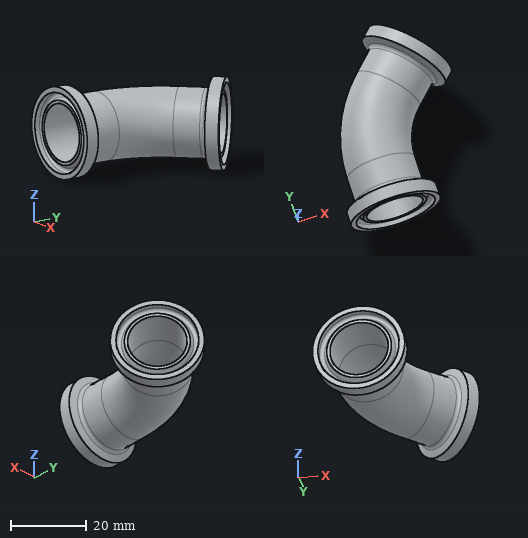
import cadquery as cq
import math

bend_angle = 45
bend_radius = 28.6
leg_length = 12.7

tube_radius = 19.05 / 2
bore_radius = 15.7 / 2

rim_radius = 25.0 / 2
rim_thickness = 3.65
slope_angle = 20
neck_fillet = 1.15
neck_turn = 90 - slope_angle
slope_end_radius = tube_radius + neck_fillet * (1 - math.cos(math.radians(neck_turn)))
slope_end = rim_thickness + (rim_radius - slope_end_radius) * math.tan(math.radians(slope_angle))
neck_end = slope_end + neck_fillet * math.sin(math.radians(neck_turn))

groove_outer_radius = 21.9 / 2
groove_inner_radius = 17.5 / 2
groove_inner_angle = 36
groove_floor_radius = 0.75
groove_straight_depth = 1.45
lip_recess = 0.8


def groove_floor_point(angle):
    """Point on the groove's floor arc; 0 degrees is the outer wall, 90 is the deepest point."""
    turn = math.radians(angle)
    centre_radius = groove_outer_radius - groove_floor_radius
    return (
        centre_radius + groove_floor_radius * math.cos(turn),
        groove_straight_depth + groove_floor_radius * math.sin(turn),
    )


def neck_point(angle):
    """Point on the neck arc; 0 degrees is on the tube, neck_turn is on the sloped back."""
    turn = math.radians(angle)
    return (
        tube_radius + neck_fillet * (1 - math.cos(turn)),
        neck_end - neck_fillet * math.sin(turn),
    )


def ferrule_leg():
    """Solid straight leg along +Y, with its grooved ferrule face at Y = 0."""
    return (
        cq.Workplane("XY")
        .moveTo(0, lip_recess)
        .lineTo(groove_inner_radius, lip_recess)
        .lineTo(*groove_floor_point(180 - groove_inner_angle))
        .threePointArc(groove_floor_point(90), groove_floor_point(0))
        .lineTo(groove_outer_radius, 0)
        .lineTo(rim_radius, 0)
        .lineTo(rim_radius, rim_thickness)
        .lineTo(*neck_point(neck_turn))
        .threePointArc(neck_point(neck_turn / 2), neck_point(0))
        .lineTo(tube_radius, leg_length)
        .lineTo(0, leg_length)
        .close()
        .revolve(360, (0, 0), (0, 1))
    )


def bore_leg():
    """Cutting body for the bore of one straight leg."""
    return cq.Workplane("XZ").circle(bore_radius).extrude(-leg_length)


def bend(radius):
    """Solid round bend that continues the first leg and turns toward +X."""
    return (
        cq.Workplane("XZ", origin=(0, leg_length, 0))
        .circle(radius)
        .revolve(bend_angle, (bend_radius, 0), (bend_radius, -1))
    )


def at_far_end(leg):
    """Mirror a leg about the middle plane of the bend, onto the other end."""
    bend_centre = (bend_radius, leg_length, 0)
    axis_end = (bend_radius, leg_length, 1)
    return leg.mirror("XZ", bend_centre).rotate(bend_centre, axis_end, -bend_angle)


outside = bend(tube_radius).union(ferrule_leg()).union(at_far_end(ferrule_leg()))
bore = bend(bore_radius).union(bore_leg()).union(at_far_end(bore_leg()))
result = outside.cut(bore)